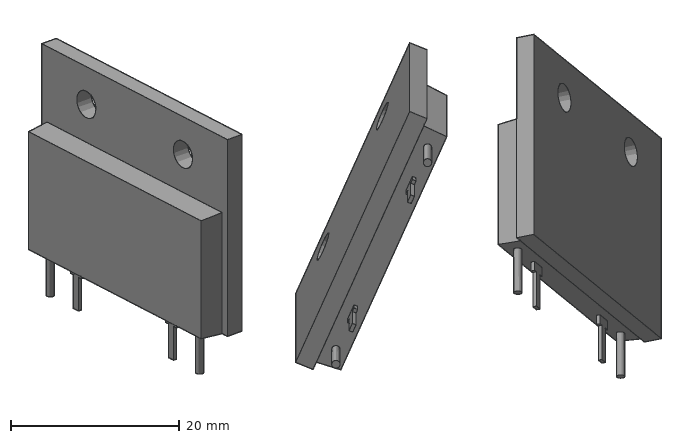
import cadquery as cq
import math

plate_width = 34.2
plate_thickness = 2.25
plate_height = 26.0
hole_diameter = 3.5
hole_offset_x = 8.9
hole_drop = 5.0

housing_width = 32.2
housing_height = 16.0
housing_depth = 3.08
housing_draft = 4.0

lead_length = 5.5
lead_y = -1.5
lead_top = housing_depth * math.tan(math.radians(housing_draft))
pin_diameter = 1.0
pin_offset_x = 13.75
blade_width = 1.0
blade_thickness = 0.48
blade_offset_x = 8.75
shoulder_width = 2.0
shoulder_length = 1.05


def make_plate():
    """Flat plate with two round mounting holes through it."""
    plate = cq.Workplane("XY").box(
        plate_width, plate_thickness, plate_height, centered=(True, False, False)
    )
    hole_z = plate_height - hole_drop
    holes = (
        cq.Workplane("XZ")
        .pushPoints([(-hole_offset_x, hole_z), (hole_offset_x, hole_z)])
        .circle(hole_diameter / 2)
        .extrude(-plate_thickness)
    )
    return plate.cut(holes)


def make_housing():
    """Block that narrows on all four sides away from the plate."""
    return (
        cq.Workplane("XZ")
        .center(0, housing_height / 2)
        .rect(housing_width, housing_height)
        .extrude(housing_depth, taper=housing_draft)
    )


def make_pin(x):
    """Round lead, trimmed to end on the housing's sloping underside."""
    pin = (
        cq.Workplane("XY", origin=(x, lead_y, -lead_length))
        .circle(pin_diameter / 2)
        .extrude(lead_length + lead_top)
    )
    return pin.cut(housing)


def make_blade(x):
    """Flat lead with a wide shoulder, trimmed to the housing's sloping underside."""
    half_width = blade_width / 2
    half_shoulder = shoulder_width / 2
    blade = (
        cq.Workplane("XZ", origin=(x, lead_y, 0))
        .moveTo(-half_width, -lead_length)
        .lineTo(half_width, -lead_length)
        .lineTo(half_width, -shoulder_length)
        .lineTo(half_shoulder, -shoulder_length)
        .lineTo(half_shoulder, lead_top)
        .lineTo(-half_shoulder, lead_top)
        .lineTo(-half_shoulder, -shoulder_length)
        .lineTo(-half_width, -shoulder_length)
        .close()
        .extrude(blade_thickness / 2, both=True)
    )
    return blade.cut(housing)


plate = make_plate()
housing = make_housing()
pins = [make_pin(side * pin_offset_x) for side in (-1, 1)]
blades = [make_blade(side * blade_offset_x) for side in (-1, 1)]

leads = [lead.solids().val() for lead in pins + blades]
result = cq.Compound.makeCompound([plate.solids().val(), housing.solids().val(), *leads])